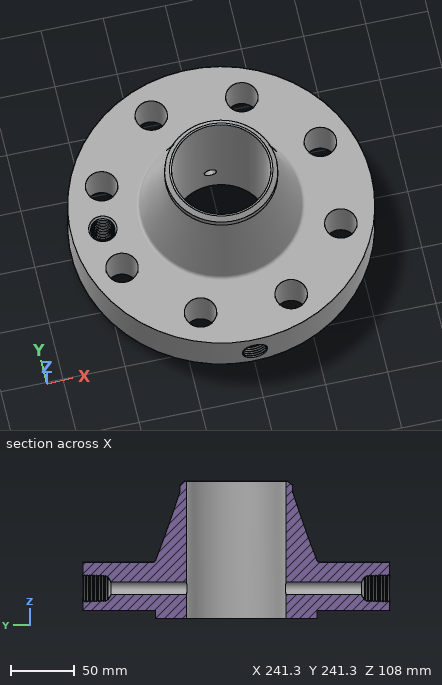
import cadquery as cq
import math


INCH = 25.4

FLANGE_DIAMETER = 241.3
FLANGE_THICKNESS = 38.1
FACE_DIAMETER = 127.0
FACE_HEIGHT = 6.35
FLANGE_TOP = FACE_HEIGHT + FLANGE_THICKNESS

TOTAL_HEIGHT = 107.95
BORE_DIAMETER = 77.93
NECK_DIAMETER = 88.9
NECK_BOTTOM = 99.5
END_LAND = 1.6
BEVEL_WIDTH = (NECK_DIAMETER - BORE_DIAMETER) / 2 - END_LAND
BEVEL_ANGLE = 37.5
BEVEL_HEIGHT = BEVEL_WIDTH * math.tan(math.radians(BEVEL_ANGLE))
HUB_BASE_DIAMETER = 128.0
HUB_FILLET = 3.0

BOLT_CIRCLE_DIAMETER = 190.5
BOLT_HOLE_DIAMETER = 25.4
BOLT_HOLE_COUNT = 8
BOLT_START_ANGLE = 180 / BOLT_HOLE_COUNT

JACK_MAJOR_DIAMETER = 22.225
JACK_MINOR_DIAMETER = 19.05
JACK_PITCH = INCH / 9

TAP_HEIGHT = 23.8125
TAP_MAJOR_DIAMETER = 21.3
TAP_PITCH = INCH / 14
TAP_THREAD_DEPTH = 1.2
TAP_RADIAL_TAPER = 1 / 32
TAP_THREAD_COUNT = 11
TAP_PILOT_DIAMETER = 9.525
DRILL_POINT_ANGLE = 118


def make_body():
    """Revolve the raised face, disc, hub and welding end around the bore."""
    bore = BORE_DIAMETER / 2
    neck = NECK_DIAMETER / 2
    profile = (
        cq.Workplane("XZ")
        .moveTo(bore, 0)
        .lineTo(FACE_DIAMETER / 2, 0)
        .lineTo(FACE_DIAMETER / 2, FACE_HEIGHT)
        .lineTo(FLANGE_DIAMETER / 2, FACE_HEIGHT)
        .lineTo(FLANGE_DIAMETER / 2, FLANGE_TOP)
        .lineTo(HUB_BASE_DIAMETER / 2, FLANGE_TOP)
        .lineTo(neck, NECK_BOTTOM)
        .lineTo(neck, TOTAL_HEIGHT - BEVEL_HEIGHT)
        .lineTo(bore + END_LAND, TOTAL_HEIGHT)
        .lineTo(bore, TOTAL_HEIGHT)
        .close()
    )
    body = profile.revolve(360, (0, 0, 0), (0, 1, 0))
    half_width = HUB_BASE_DIAMETER / 2 + HUB_FILLET
    hub_base = cq.selectors.BoxSelector(
        (-half_width, -half_width, FLANGE_TOP - HUB_FILLET),
        (half_width, half_width, FLANGE_TOP + HUB_FILLET),
        boundingbox=True,
    )
    return body.edges(hub_base).fillet(HUB_FILLET)


def make_bolt_holes():
    """Cylinders for the ring of plain bolt holes."""
    return (
        cq.Workplane("XY")
        .polarArray(BOLT_CIRCLE_DIAMETER / 2, BOLT_START_ANGLE, 360, BOLT_HOLE_COUNT)
        .circle(BOLT_HOLE_DIAMETER / 2)
        .extrude(FLANGE_TOP)
    )


def thread_points(major_radius, minor_radius, pitch, count, taper=0.0):
    """Zigzag of (radius, depth) points: ring-shaped V threads going inward from depth 0."""
    points = [(major_radius, 0)]
    for turn in range(count):
        crest_depth = (turn + 0.5) * pitch
        root_depth = (turn + 1) * pitch
        points.append((minor_radius - taper * crest_depth, crest_depth))
        points.append((major_radius - taper * root_depth, root_depth))
    return points


def make_jack_hole():
    """Threaded hole through the disc, started at its top face."""
    turns = math.ceil(FLANGE_THICKNESS / JACK_PITCH)
    threads = thread_points(JACK_MAJOR_DIAMETER / 2, JACK_MINOR_DIAMETER / 2, JACK_PITCH, turns)
    outline = [(0, 0)] + threads + [(0, turns * JACK_PITCH)]
    cutter = cq.Workplane("XZ").polyline(outline).close().revolve(360, (0, 0, 0), (0, 1, 0))
    cutter = cutter.rotate((0, 0, 0), (1, 0, 0), 180)
    return cutter.translate((-BOLT_CIRCLE_DIAMETER / 2, 0, FLANGE_TOP))


def make_tap():
    """Tapered threaded tap entering the rim at -Y and reaching the bore."""
    major = TAP_MAJOR_DIAMETER / 2
    pilot = TAP_PILOT_DIAMETER / 2
    threads = thread_points(
        major, major - TAP_THREAD_DEPTH, TAP_PITCH, TAP_THREAD_COUNT, TAP_RADIAL_TAPER
    )
    last_root, thread_end = threads.pop()
    drill_radius = last_root - TAP_THREAD_DEPTH
    point_length = (drill_radius - pilot) / math.tan(math.radians(DRILL_POINT_ANGLE / 2))
    rim_radius = FLANGE_DIAMETER / 2
    outline = [(0, 0)] + threads + [
        (drill_radius, thread_end),
        (pilot, thread_end + point_length),
        (pilot, rim_radius),
        (0, rim_radius),
    ]
    cutter = cq.Workplane("XY").polyline(outline).close().revolve(360, (0, 0, 0), (0, 1, 0))
    return cutter.translate((0, -rim_radius, TAP_HEIGHT))


body = make_body()
tap = make_tap()
opposite_tap = tap.mirror("XZ")
result = body.cut(make_bolt_holes()).cut(make_jack_hole()).cut(tap).cut(opposite_tap)